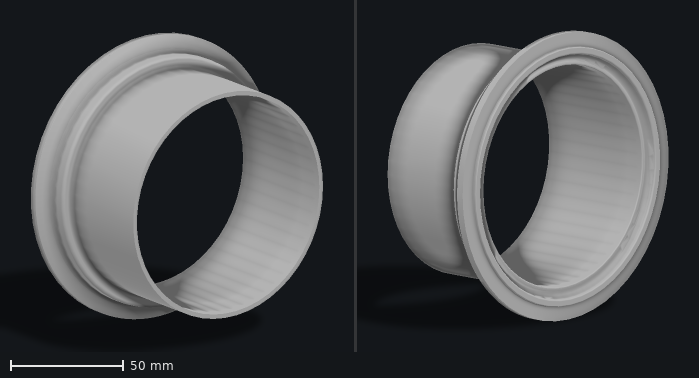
import cadquery as cq
import math

flange_radius = 65.0
lip_radius = 116.6 / 2
hub_radius = 115.0 / 2
tube_radius = 52.0
bore_radius = 100.0 / 2
groove_outer_radius = 55.1

length = 61.5
flange_front = 1.5
flange_back = 5.1
hub_back = 15.5
groove_floor_start = 0.9
crest_setback = 3.1

flange_back_angle = 20.0
flange_back_end = flange_back + (flange_radius - hub_radius) * math.tan(math.radians(flange_back_angle))

groove_floor_rounding = 2.6
lip_rounding = 0.4
rim_rounding = 0.3
hub_front_fillet = 2.2
hub_back_rounding = 1.5
tube_fillet = 1.5
groove_mouth_rounding = 0.8
crest_rounding = 1.7
bore_rounding = 0.5


def round_circle(body, x, radius, rounding):
    """Round the circular edge with the given X position and radius."""
    margin = 0.01
    reach = radius + margin
    around = cq.selectors.BoxSelector(
        (x - margin, -reach, -reach), (x + margin, reach, reach), boundingbox=True
    )
    inner_reach = radius - margin
    inside = cq.selectors.BoxSelector(
        (x - margin, -inner_reach, -inner_reach), (x + margin, inner_reach, inner_reach), boundingbox=True
    )
    return body.edges(around - inside).edges("%CIRCLE").fillet(rounding)


floor_centre_radius = groove_outer_radius - groove_floor_rounding
groove_depth = groove_floor_start + groove_floor_rounding
crest_height = crest_setback - groove_floor_start
crest_radius = floor_centre_radius - math.sqrt(groove_floor_rounding**2 - crest_height**2)

result = (
    cq.Workplane("XY")
    .moveTo(crest_setback, bore_radius)
    .lineTo(crest_setback, crest_radius)
    .threePointArc((groove_depth, floor_centre_radius), (groove_floor_start, groove_outer_radius))
    .lineTo(0, groove_outer_radius)
    .lineTo(0, lip_radius)
    .lineTo(flange_front, lip_radius)
    .lineTo(flange_front, flange_radius)
    .lineTo(flange_back, flange_radius)
    .lineTo(flange_back_end, hub_radius)
    .lineTo(hub_back, hub_radius)
    .lineTo(hub_back, tube_radius)
    .lineTo(length, tube_radius)
    .lineTo(length, bore_radius)
    .close()
    .revolve(360, (0, 0, 0), (1, 0, 0))
)

rounded_edges = [
    (0, lip_radius, lip_rounding),
    (flange_front, lip_radius, lip_rounding),
    (flange_back, flange_radius, rim_rounding),
    (flange_back_end, hub_radius, hub_front_fillet),
    (hub_back, hub_radius, hub_back_rounding),
    (hub_back, tube_radius, tube_fillet),
    (0, groove_outer_radius, groove_mouth_rounding),
    (crest_setback, crest_radius, crest_rounding),
    (crest_setback, bore_radius, bore_rounding),
]
for edge_x, edge_radius, rounding in rounded_edges:
    result = round_circle(result, edge_x, edge_radius, rounding)